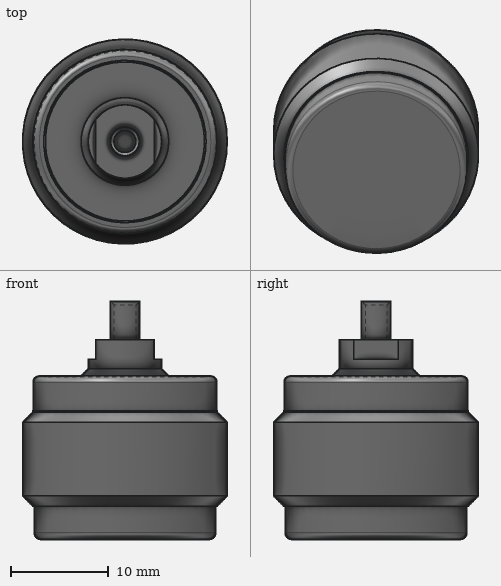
import cadquery as cq

nut_radius = 10.5
nut_bottom = 4.5
nut_top = 12.01
nut_bevel = 1.05
nut_rim_height = 0.15

base_radius = 9.33
base_round = 0.75
collar_radius = 9.43
collar_top = 16.78
collar_round = 0.63

groove_outer_radius = 8.33
groove_inner_radius = 8.15
groove_depth = 0.1

neck_radius = 3.75
neck_foot = 0.73
neck_top = 20.51
flat_width = 6.0
flat_bottom = 18.5

tip_radius = 1.51
part_height = 24.42
bore_radius = 1.12
bore_lip = 0.05
bore_bevel = tip_radius - bore_lip - bore_radius
bore_depth = part_height - neck_top


def disc(radius, bottom, top):
    return cq.Workplane("XY").workplane(offset=bottom).circle(radius).extrude(top - bottom)


def revolve_about_z(profile):
    return cq.Workplane("XZ").polyline(profile).close().revolve(360, (0, 0), (0, 1))


def make_nut():
    rim_radius = nut_radius - nut_bevel
    lower_edge = nut_bottom - nut_bevel
    upper_edge = nut_top + nut_bevel
    rim_top = upper_edge + nut_rim_height
    nut_profile = [
        (0, lower_edge),
        (rim_radius, lower_edge),
        (nut_radius, nut_bottom),
        (nut_radius, nut_top),
        (rim_radius, upper_edge),
        (rim_radius, rim_top),
        (0, rim_top),
    ]
    return revolve_about_z(nut_profile)


def make_base_and_collar():
    base = disc(base_radius, 0, nut_top).faces("<Z").edges().fillet(base_round)
    collar = disc(collar_radius, nut_bottom, collar_top).faces(">Z").edges().fillet(collar_round)
    return base.union(collar)


def make_groove():
    groove_floor = collar_top - groove_depth
    outer = disc(groove_outer_radius, groove_floor, collar_top)
    return outer.cut(disc(groove_inner_radius, groove_floor, collar_top))


def make_neck():
    foot_radius = neck_radius + neck_foot
    foot_profile = [
        (0, collar_top),
        (foot_radius, collar_top),
        (neck_radius, collar_top + neck_foot),
        (0, collar_top + neck_foot),
    ]
    foot = revolve_about_z(foot_profile)
    neck = disc(neck_radius, collar_top, neck_top)
    flats = cq.Workplane("XY").workplane(offset=flat_bottom).rect(
        flat_width, 2 * neck_radius).extrude(neck_top - flat_bottom)
    return foot.union(neck.intersect(flats.union(disc(neck_radius, collar_top, flat_bottom))))


def make_tip():
    tip = disc(tip_radius, neck_top, part_height)
    bore = disc(bore_radius, part_height - bore_depth, part_height)
    tip = tip.cut(bore)
    return tip.faces(">Z").edges(cq.selectors.RadiusNthSelector(0)).chamfer(bore_bevel)


body = make_base_and_collar().union(make_nut()).cut(make_groove())
result = body.union(make_neck()).union(make_tip())